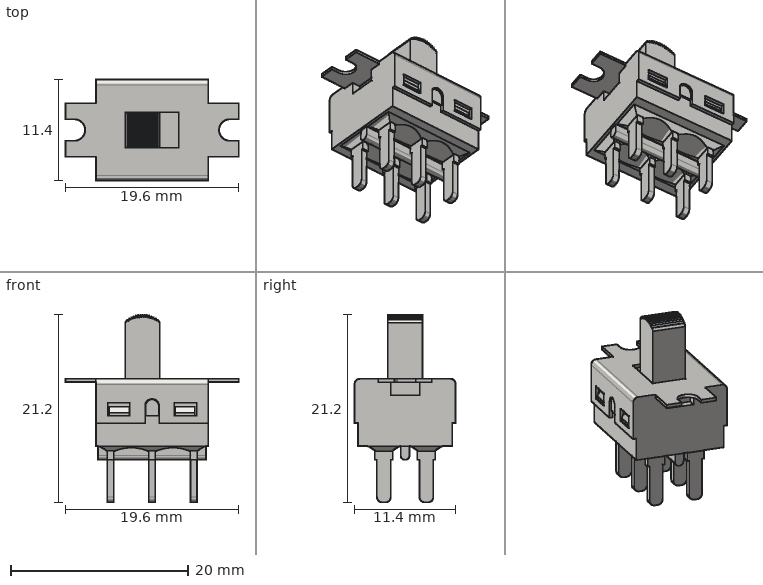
import cadquery as cq
import math


overall_length = 19.56
overall_width = 11.43
overall_height = 21.21
base_length = 12.70

sheet = 0.38
cover_top = 7.62
cover_skirt_bottom = 2.60
bend_outer_radius = 0.60
ear_width = 6.07
ear_slot_diameter = 2.40
ear_slot_centre_x = 8.77
slider_opening_length = 6.07
slider_opening_width = 4.00

base_width = overall_width - 2 * sheet
base_top = cover_top - sheet
end_pocket_width = 3.27
end_pocket_height = 1.51
end_pocket_depth = 1.00

window_centre_x = 3.77
window_length = 2.49
window_bottom = 3.44
window_top = 4.92
wedge_centre_x = 3.70
wedge_length = 2.22
wedge_face_top = 3.755
wedge_top = 4.46
wedge_projection = 0.25

notch_width = 1.60
notch_top = 5.34
key_width = 1.48
key_projection = 0.18
key_bottom = window_bottom

pin_pitch_x = 4.70
pin_row_y = 2.40
pin_thickness = 0.76
pin_width = 1.60
pin_shoulder_width = 2.06
pin_tip_radius = 0.64
pin_bottom = -6.35
shoulder_bottom = -1.55

rail_length = 12.22
rail_width = 1.02
rail_bottom = shoulder_bottom

seal_depth = 0.60
seal_valley_depth = 0.17
seal_half_length = 6.00
seal_flat_half_length = 0.33
seal_half_width = 1.82
seal_flat_half_width = 0.90
seal_flare = 0.05

slider_top = pin_bottom + overall_height
slider_length = 3.91
slider_width = 3.94
slider_shoulder = 13.93
slider_centre_x = (slider_length - slider_opening_length) / 2
tooth_count = 15
tooth_pitch = 0.248
tooth_depth = 0.29
crown_tip_radius = 2.90


def box(x_size, y_size, z_low, z_high, x=0.0, y=0.0):
    """Block centred on (x, y) that spans z_low to z_high."""
    block = cq.Workplane("XY").box(x_size, y_size, z_high - z_low, centered=(True, True, False))
    return block.translate((x, y, z_low))


def arched_block(width, z_low, z_high, y_low, y_high):
    """Block with a full-round top in the XZ plane, spanning y_low to y_high."""
    radius = width / 2
    outline = (
        cq.Workplane("XZ", origin=(0, y_high, 0))
        .moveTo(-radius, z_low)
        .lineTo(radius, z_low)
        .lineTo(radius, z_high - radius)
        .threePointArc((0, z_high), (-radius, z_high - radius))
        .close()
    )
    return outline.extrude(y_high - y_low)


def make_base():
    """Plastic body with a shallow pocket at the top of each end."""
    body = box(base_length, base_width, 0, base_top)
    body = body.edges("|X and >Z").fillet(bend_outer_radius - sheet)
    pocket_bottom = base_top - end_pocket_height
    pocket_x = (base_length - end_pocket_depth) / 2
    for side in (-1, 1):
        body = body.cut(box(end_pocket_depth, end_pocket_width, pocket_bottom, base_top, side * pocket_x))
    return body


def make_latches():
    """Wedges and centre key on the -Y wall, mirrored to the +Y wall."""
    wall_y = -base_width / 2
    key = arched_block(
        key_width, key_bottom, notch_top - (notch_width - key_width) / 2, wall_y - key_projection, wall_y
    )
    wedge = (
        cq.Workplane("YZ")
        .polyline([
            (wall_y, window_bottom),
            (wall_y - wedge_projection, window_bottom),
            (wall_y - wedge_projection, wedge_face_top),
            (wall_y, wedge_top),
        ])
        .close()
        .extrude(wedge_length / 2, both=True)
    )
    latches = key
    for side in (-1, 1):
        latches = latches.union(wedge.translate((side * wedge_centre_x, 0, 0)))
    return latches.union(latches.mirror("XZ"))


def make_cover():
    """Bent sheet cover with two slotted ears, latch windows and skirt notches."""
    shell = box(base_length, overall_width, cover_skirt_bottom, cover_top)
    shell = shell.edges("|X and >Z").fillet(bend_outer_radius)
    inside = box(base_length, base_width, cover_skirt_bottom, base_top)
    inside = inside.edges("|X and >Z").fillet(bend_outer_radius - sheet)
    cover = shell.cut(inside)
    cover = cover.union(box(overall_length, ear_width, base_top, cover_top))
    cover = cover.cut(box(slider_opening_length, slider_opening_width, base_top, cover_top))

    slot_tail = overall_length / 2 - ear_slot_centre_x
    round_end = cq.Workplane("XY", origin=(0, 0, base_top)).circle(ear_slot_diameter / 2).extrude(sheet)
    for side in (-1, 1):
        tail_x = side * (ear_slot_centre_x + slot_tail / 2)
        cover = cover.cut(round_end.translate((side * ear_slot_centre_x, 0, 0)))
        cover = cover.cut(box(slot_tail, ear_slot_diameter, base_top, cover_top, tail_x))
        cover = cover.cut(
            box(window_length, overall_width, window_bottom, window_top, side * window_centre_x)
        )
    half_width = overall_width / 2
    return cover.cut(arched_block(notch_width, cover_skirt_bottom, notch_top, -half_width, half_width))


def make_slider():
    """Slider knob whose crown carries teeth running along Y."""
    half_length = slider_length / 2
    root_height = slider_top - tooth_depth
    root_drop = root_height - slider_shoulder
    crown_root_radius = (half_length**2 + root_drop**2) / (2 * root_drop)

    def crown_z(x, top, radius):
        return top - radius + math.sqrt(radius**2 - x**2)

    crown = []
    for index in range(tooth_count):
        tip_x = (index - (tooth_count - 1) / 2) * tooth_pitch
        crown.append((tip_x, crown_z(tip_x, slider_top, crown_tip_radius)))
        if index < tooth_count - 1:
            root_x = tip_x + tooth_pitch / 2
            crown.append((root_x, crown_z(root_x, root_height, crown_root_radius)))
    outline = [(-half_length, base_top), (-half_length, slider_shoulder)]
    outline += crown
    outline += [(half_length, slider_shoulder), (half_length, base_top)]
    knob = cq.Workplane("XZ").polyline(outline).close().extrude(slider_width / 2, both=True)
    return knob.translate((slider_centre_x, 0, 0))


def make_pin():
    """One terminal with shoulders and rounded tip corners, centred on X and Y."""
    blade = box(pin_thickness, pin_width, pin_bottom, shoulder_bottom)
    blade = blade.edges("|X and <Z").fillet(pin_tip_radius)
    return blade.union(box(pin_thickness, pin_shoulder_width, shoulder_bottom, 0))


def make_rail():
    """Full-round rail along X under the middle of the base."""
    radius = rail_width / 2
    outline = (
        cq.Workplane("YZ")
        .moveTo(-radius, 0)
        .lineTo(-radius, rail_bottom + radius)
        .threePointArc((0, rail_bottom), (radius, rail_bottom + radius))
        .lineTo(radius, 0)
        .close()
    )
    return outline.extrude(rail_length / 2, both=True)


def make_seal():
    """Ridge of sealing compound along one terminal row, centred on Y."""
    flat_end = pin_pitch_x + seal_flat_half_length
    flank_mid_x = (seal_half_length + flat_end) / 2
    flat_start = pin_pitch_x - seal_flat_half_length
    flank_mid_z = seal_flare - seal_depth / 2
    valley_x = pin_pitch_x / 2
    lengthwise = (
        cq.Workplane("XZ")
        .moveTo(-seal_half_length, 0)
        .threePointArc((-flank_mid_x, flank_mid_z), (-flat_end, -seal_depth))
        .lineTo(-flat_start, -seal_depth)
        .threePointArc((-valley_x, -seal_valley_depth), (-seal_flat_half_length, -seal_depth))
        .lineTo(seal_flat_half_length, -seal_depth)
        .threePointArc((valley_x, -seal_valley_depth), (flat_start, -seal_depth))
        .lineTo(flat_end, -seal_depth)
        .threePointArc((flank_mid_x, flank_mid_z), (seal_half_length, 0))
        .close()
        .extrude(seal_half_width, both=True)
    )
    side_mid_y = (seal_half_width + seal_flat_half_width) / 2
    crosswise = (
        cq.Workplane("YZ")
        .moveTo(-seal_half_width, 0)
        .threePointArc((-side_mid_y, flank_mid_z), (-seal_flat_half_width, -seal_depth))
        .lineTo(seal_flat_half_width, -seal_depth)
        .threePointArc((side_mid_y, flank_mid_z), (seal_half_width, 0))
        .close()
        .extrude(seal_half_length, both=True)
    )
    return lengthwise.intersect(crosswise)


def make_terminal_row():
    """Three terminals and the sealing ridge they emerge from."""
    row = make_seal()
    pin = make_pin()
    for column in (-1, 0, 1):
        row = row.union(pin.translate((column * pin_pitch_x, 0, 0)))
    return row


result = make_base().union(make_latches()).union(make_cover()).union(make_slider()).union(make_rail())
for row_side in (-1, 1):
    result = result.union(make_terminal_row().translate((0, row_side * pin_row_y, 0)))